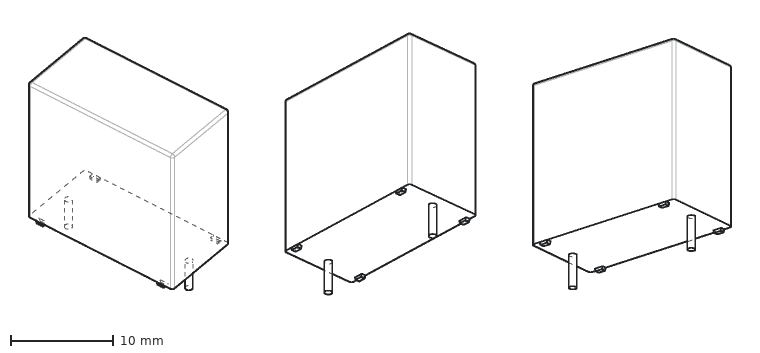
import cadquery as cq

case_length = 18.0
case_width = 9.0
case_height = 17.2
edge_radius = 0.3

pin_pitch = 15.0
pin_diameter = 0.8
pin_length = 3.5

foot_base_length = 1.0
foot_tip_length = 0.8
foot_width = 0.5
foot_height = 0.3

pin_positions = [(side * pin_pitch / 2, 0) for side in (-1, 1)]
foot_offset_y = (case_width - foot_width) / 2
foot_positions = [(x, side * foot_offset_y) for x, _ in pin_positions for side in (-1, 1)]


def make_case():
    """Box with rounded vertical and top edges and a sharp bottom edge."""
    box = cq.Workplane("XY").box(case_length, case_width, case_height, centered=(True, True, False))
    return box.edges("|Z or >Z").fillet(edge_radius)


def make_pin(x, y):
    """Straight round lead hanging from the underside of the case."""
    return cq.Workplane("XY").center(x, y).circle(pin_diameter / 2).extrude(-pin_length)


def make_foot(x, y):
    """Standoff pad under the case: a trapezoid in XZ, extruded across the pad's width."""
    profile = [
        (x - foot_base_length / 2, 0),
        (x + foot_base_length / 2, 0),
        (x + foot_tip_length / 2, -foot_height),
        (x - foot_tip_length / 2, -foot_height),
    ]
    plane = cq.Workplane("XZ", origin=(0, y, 0))
    return plane.polyline(profile).close().extrude(foot_width / 2, both=True)


case = make_case()
pins = [make_pin(x, y) for x, y in pin_positions]
feet = [make_foot(x, y) for x, y in foot_positions]

result = cq.Compound.makeCompound([body.val() for body in [case, *pins, *feet]])